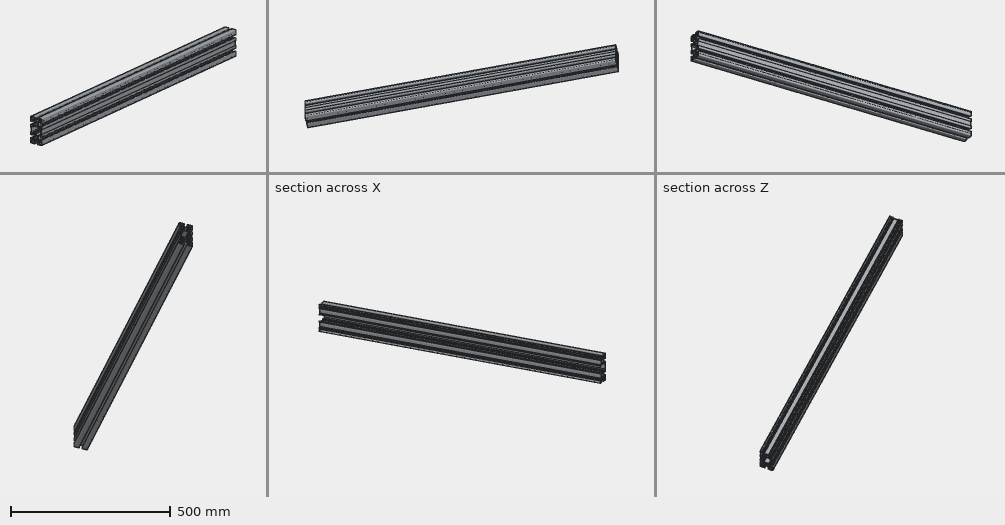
import cadquery as cq

WIDTH = 45.0
HEIGHT = 90.0
LENGTH = 1000.0
CORNER_RADIUS = 3.0
EDGE_RADIUS = 1.7

BORE_OFFSET = HEIGHT / 4
BORE_DIAMETER = 8.0
COUNTERSINK_DIAMETER = 14.0

MOUTH_WIDTH = 10.0
LIP_THICKNESS = 6.0
SLOT_DEPTH = 13.0
SLOT_INNER_WIDTH = 20.0
SLOT_FLOOR_WIDTH = 14.0
CROWN_WIDTH = 8.0
CROWN_RISE = 0.3

CHAMBER_SIZE = 7.0
CHAMBER_INSET = 3.5
CHAMBER_RADIUS = 0.8

CAVITY_WIDTH = 35.0
CAVITY_SHOULDER = 11.0
CAVITY_HEIGHT = 28.0
CAVITY_TOP_WIDTH = 16.0
CAVITY_BEVEL = CAVITY_HEIGHT / 2 - CAVITY_SHOULDER

RECESS_FLOOR_WIDTH = 16.0

OVERSHOOT = 1.0

ARC_MIDDLE = EDGE_RADIUS * 0.5**0.5


def section():
    return cq.Workplane("XZ")


def bar(outline):
    """Extrude closed XZ outlines over the full length, centred on the origin."""
    return outline.extrude(LENGTH / 2, both=True)


def rotate_about_y(body, angle):
    return body.rotate((0, 0, 0), (0, 1, 0), angle)


def start_rounded_opening(half_width):
    """Start an outline at the left end of an opening in the XY plane and run
    over it to the inner end of the rounded edge on the right."""
    centre_x = half_width + EDGE_RADIUS
    arc_middle = (centre_x - ARC_MIDDLE, ARC_MIDDLE - EDGE_RADIUS)
    outline = section().moveTo(-half_width, -EDGE_RADIUS)
    outline = outline.threePointArc((-arc_middle[0], arc_middle[1]), (-centre_x, 0))
    outline = outline.lineTo(-centre_x, OVERSHOOT)
    outline = outline.lineTo(centre_x, OVERSHOOT).lineTo(centre_x, 0)
    return outline.threePointArc(arc_middle, (half_width, -EDGE_RADIUS))


def slot_cutter():
    """T-slot opening towards +Z, with its mouth in the XY plane."""
    half_inner = SLOT_INNER_WIDTH / 2
    half_floor = SLOT_FLOOR_WIDTH / 2
    half_crown = CROWN_WIDTH / 2
    bevel = half_inner - half_floor
    right_side = [
        (MOUTH_WIDTH / 2, -LIP_THICKNESS),
        (half_inner, -LIP_THICKNESS),
        (half_inner, bevel - SLOT_DEPTH),
        (half_floor, -SLOT_DEPTH),
        (half_crown, -SLOT_DEPTH),
    ]
    left_side = [(-x, z) for x, z in reversed(right_side)]
    outline = start_rounded_opening(MOUTH_WIDTH / 2)
    for point in right_side:
        outline = outline.lineTo(*point)
    outline = outline.threePointArc((0, CROWN_RISE - SLOT_DEPTH), left_side[0])
    for point in left_side[1:]:
        outline = outline.lineTo(*point)
    return bar(outline.close())


def recess_cutter():
    """Shallow round-edged recess open towards +Z, its rim in the XY plane."""
    return bar(start_rounded_opening(RECESS_FLOOR_WIDTH / 2).close())


def cavity_cutter():
    """Central hollow with a bevelled extension towards each bore."""
    half_top = CAVITY_TOP_WIDTH / 2
    right_side = [
        (CAVITY_WIDTH / 2, CAVITY_SHOULDER),
        (half_top + CAVITY_BEVEL, CAVITY_SHOULDER),
        (half_top, CAVITY_HEIGHT / 2),
    ]
    upper = right_side + [(-x, z) for x, z in reversed(right_side)]
    lower = [(-x, -z) for x, z in upper]
    return bar(section().polyline(upper + lower).close())


def chamber_cutter():
    """Rounded square hollow in each of the four outer corners."""
    centre_inset = CHAMBER_INSET + CHAMBER_SIZE / 2
    chambers = (
        section()
        .rect(WIDTH - 2 * centre_inset, HEIGHT - 2 * centre_inset, forConstruction=True)
        .vertices()
        .rect(CHAMBER_SIZE, CHAMBER_SIZE)
    )
    return bar(chambers).edges("|Y").fillet(CHAMBER_RADIUS)


def cut_bore(body, centre_z):
    """Cut a bore through the full length, countersunk at 45 degrees at both ends."""
    countersink_depth = (COUNTERSINK_DIAMETER - BORE_DIAMETER) / 2
    bore = bar(section().center(0, centre_z).circle(BORE_DIAMETER / 2))
    flare = cq.Solid.makeCone(
        COUNTERSINK_DIAMETER / 2,
        BORE_DIAMETER / 2,
        countersink_depth,
        pnt=cq.Vector(0, -LENGTH / 2, centre_z),
        dir=cq.Vector(0, 1, 0),
    )
    front_flare = cq.Workplane(obj=flare)
    return body.cut(bore).cut(front_flare).cut(front_flare.mirror("XZ"))


profile = bar(section().rect(WIDTH, HEIGHT)).edges("|Y").fillet(CORNER_RADIUS)

end_slot = slot_cutter().translate((0, 0, HEIGHT / 2))
side_slot = rotate_about_y(slot_cutter(), 90).translate((WIDTH / 2, 0, BORE_OFFSET))
recess = rotate_about_y(recess_cutter(), 90).translate((WIDTH / 2, 0, 0))
for cutter in (end_slot, side_slot, side_slot.mirror("XY"), recess):
    profile = profile.cut(cutter).cut(rotate_about_y(cutter, 180))

profile = profile.cut(chamber_cutter())
profile = profile.cut(cavity_cutter())
for bore_z in (BORE_OFFSET, -BORE_OFFSET):
    profile = cut_bore(profile, bore_z)

result = profile